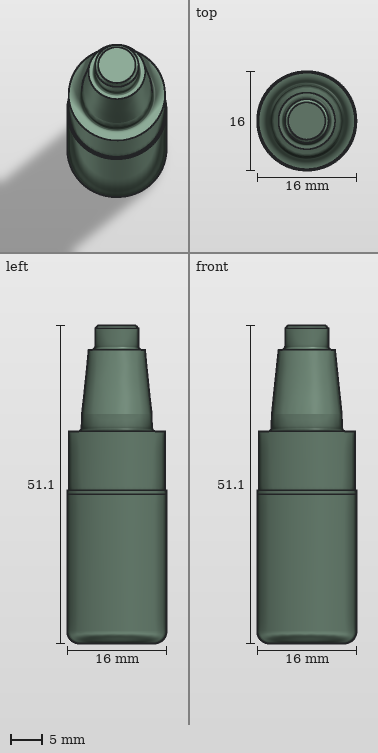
import cadquery as cq

total_height = 51.1
body_diameter = 16.0

body_height = 23.95
bottom_radius = 2.0

flange_top = 24.6
collar_diameter = 15.5
collar_top = 34.1
neck_base_radius = 5.7
neck_bend_radius = 5.6
neck_bend_height = 36.9
neck_top_radius = 4.55
neck_top = 47.15
tip_diameter = 7.0
edge_size = 0.5


def make_body():
    """Cylinder standing on Z = 0, rounded around its bottom edge."""
    cylinder = cq.Workplane("XY").circle(body_diameter / 2).extrude(body_height)
    return cylinder.faces("<Z").edges().fillet(bottom_radius)


def make_head():
    """Revolved head, with its flange seated on top of the body."""
    flange_radius = body_diameter / 2
    collar_radius = collar_diameter / 2
    tip_radius = tip_diameter / 2
    profile = (
        cq.Workplane("XZ")
        .moveTo(0, body_height)
        .lineTo(flange_radius, body_height)
        .lineTo(flange_radius, flange_top)
        .lineTo(collar_radius, flange_top)
        .lineTo(collar_radius, collar_top)
        .lineTo(neck_base_radius, collar_top)
        .lineTo(neck_bend_radius, neck_bend_height)
        .lineTo(neck_top_radius, neck_top)
        .lineTo(tip_radius, neck_top)
        .lineTo(tip_radius, total_height)
        .lineTo(0, total_height)
        .close()
    )
    head = profile.revolve(360, (0, 0, 0), (0, 1, 0))
    head = head.faces(">Z").edges().chamfer(edge_size)
    head = round_foot(head, tip_radius, neck_top, edge_size)
    return round_foot(head, neck_base_radius, collar_top, edge_size)


def round_foot(solid, radius, height, fillet_radius):
    """Fillet the inside corner circle of the given radius at the given height."""
    margin = fillet_radius / 2
    reach = radius + margin
    slab = cq.selectors.BoxSelector(
        (-reach, -reach, height - margin),
        (reach, reach, height + margin),
        boundingbox=True,
    )
    return solid.edges("%CIRCLE").edges(slab).fillet(fillet_radius)


body = make_body()
head = make_head()

result = cq.Compound.makeCompound([body.val(), head.val()])